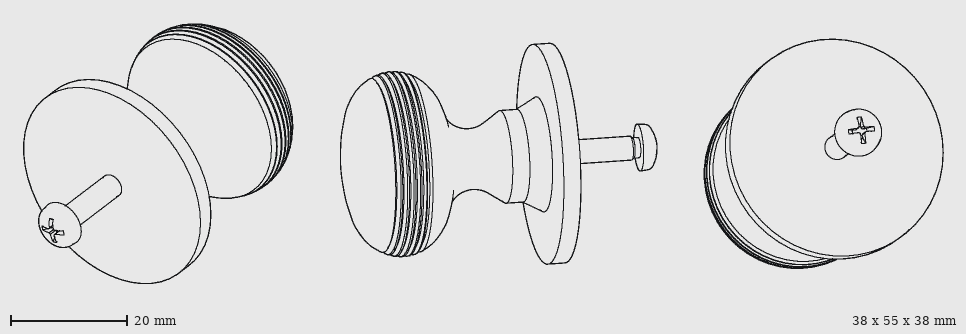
import cadquery as cq
import math


plate_diameter = 38.0
plate_thickness = 3.0
foot_radius = 9.95
collar_radius = 8.0
collar_start_y = 6.6
collar_end_y = 9.6

neck_start_radius = 6.05
neck_start_y = 12.6
neck_radius = 5.3
neck_waist_y = 15.45
neck_end_radius = 9.35
neck_end_y = 20.3

lower_bulge_radius = 14.35
lower_bulge_y = 23.6
band_start_radius = 15.35
band_start_y = 25.2
band_radius = 16.0
band_crest_y = 28.4
band_end_radius = 15.0
band_end_y = 31.9
upper_bulge_radius = 13.25
upper_bulge_y = 34.15
crown_radius = 11.2
crown_y = 35.45
knob_top_y = 37.55

groove_count = 6
groove_pitch = 1.15
groove_first_y = 25.7
groove_half_width = 0.41
groove_depth = 0.7

shank_radius = 2.1
screw_insertion = collar_end_y
shank_end_y = -13.0
relief_radius = 1.75
relief_start_y = -13.35
head_seat_y = -14.35
head_seat_radius = 4.05
head_rim_radius = 3.95
head_rim_y = -15.55
head_shoulder_radius = 3.8
head_shoulder_y = -16.1
dome_radius = 3.3
dome_start_y = -16.55
head_tip_y = -17.5

recess_arm_width = 0.75
recess_mouth_radius = 2.7
recess_floor_radius = 1.3
recess_arm_depth = 1.7
recess_depth = 2.2
recess_core_size = 1.45
recess_angle = 10


def spherical_sagitta(radius, rim_radius):
    """Height of a spherical cap at its axis above its rim."""
    return radius - math.sqrt(radius**2 - rim_radius**2)


def dome_midpoint(rim_radius, rim_y, pole_y):
    """Point halfway out on a spherical dome whose pole is on the axis."""
    height = abs(pole_y - rim_y)
    sphere_radius = (rim_radius**2 + height**2) / (2 * height)
    drop = spherical_sagitta(sphere_radius, rim_radius / 2)
    return rim_radius / 2, pole_y - math.copysign(drop, pole_y - rim_y)


def revolve_about_axis(profile):
    return profile.close().revolve(360, (0, 0, 0), (0, 1, 0))


def band_surface_radius(y):
    """Radius of the grip band at height y, on a circular arc falling away from its crest."""
    end_height = band_end_y - band_crest_y
    end_drop = band_radius - band_end_radius
    arc_radius = (end_height**2 + end_drop**2) / (2 * end_drop)
    return band_radius - spherical_sagitta(arc_radius, abs(y - band_crest_y))


def make_knob_blank():
    plate_radius = plate_diameter / 2
    profile = (
        cq.Workplane("XY")
        .lineTo(plate_radius, 0)
        .lineTo(plate_radius, plate_thickness)
        .lineTo(foot_radius, plate_thickness)
        .lineTo(collar_radius, collar_start_y)
        .lineTo(collar_radius, collar_end_y)
        .lineTo(neck_start_radius, neck_start_y)
        .threePointArc((neck_radius, neck_waist_y), (neck_end_radius, neck_end_y))
        .threePointArc((lower_bulge_radius, lower_bulge_y), (band_start_radius, band_start_y))
        .threePointArc((band_radius, band_crest_y), (band_end_radius, band_end_y))
        .threePointArc((upper_bulge_radius, upper_bulge_y), (crown_radius, crown_y))
        .threePointArc(dome_midpoint(crown_radius, crown_y, knob_top_y), (0, knob_top_y))
    )
    return revolve_about_axis(profile)


def make_groove(y):
    """Ring with a V-shaped section, its sides continued past the band surface."""
    root_radius = band_surface_radius(y) - groove_depth
    cutter_height = 2 * groove_depth
    cutter_half_width = groove_half_width * cutter_height / groove_depth
    profile = (
        cq.Workplane("XY")
        .moveTo(root_radius, y)
        .lineTo(root_radius + cutter_height, y - cutter_half_width)
        .lineTo(root_radius + cutter_height, y + cutter_half_width)
    )
    return revolve_about_axis(profile)


def make_screw_hole():
    profile = (
        cq.Workplane("XY")
        .lineTo(shank_radius, 0)
        .lineTo(shank_radius, screw_insertion)
        .lineTo(0, screw_insertion)
    )
    return revolve_about_axis(profile)


def make_knob():
    knob = make_knob_blank()
    for index in range(groove_count):
        knob = knob.cut(make_groove(groove_first_y + index * groove_pitch))
    return knob.cut(make_screw_hole())


def make_screw_blank():
    profile = (
        cq.Workplane("XY")
        .moveTo(0, screw_insertion)
        .lineTo(shank_radius, screw_insertion)
        .lineTo(shank_radius, shank_end_y)
        .lineTo(relief_radius, relief_start_y)
        .lineTo(relief_radius, head_seat_y)
        .lineTo(head_seat_radius, head_seat_y)
        .lineTo(head_rim_radius, head_rim_y)
        .threePointArc((head_shoulder_radius, head_shoulder_y), (dome_radius, dome_start_y))
        .threePointArc(dome_midpoint(dome_radius, dome_start_y, head_tip_y), (0, head_tip_y))
    )
    return revolve_about_axis(profile)


def make_cross_recess():
    """Cross with a diagonal square core, its arm tips steep and its floor a shallow cone."""
    arm_floor_y = head_tip_y + recess_arm_depth
    floor_y = head_tip_y + recess_depth
    middle_y = head_tip_y + recess_depth / 2
    arm_length = 2 * recess_mouth_radius
    arm = cq.Workplane("XY").box(arm_length, recess_depth, recess_arm_width)
    core = cq.Workplane("XY").box(recess_core_size, recess_depth, recess_core_size)
    cross = (
        arm.union(arm.rotate((0, 0, 0), (0, 1, 0), 90))
        .union(core.rotate((0, 0, 0), (0, 1, 0), 45))
        .rotate((0, 0, 0), (0, 1, 0), -recess_angle)
        .translate((0, middle_y, 0))
    )
    taper_profile = (
        cq.Workplane("XY")
        .moveTo(0, head_tip_y)
        .lineTo(recess_mouth_radius, head_tip_y)
        .lineTo(recess_floor_radius, arm_floor_y)
        .lineTo(0, floor_y)
    )
    return cross.intersect(revolve_about_axis(taper_profile))


def make_screw():
    return make_screw_blank().cut(make_cross_recess())


knob = make_knob()
screw = make_screw()
result = cq.Compound.makeCompound([knob.solids().val(), screw.solids().val()])